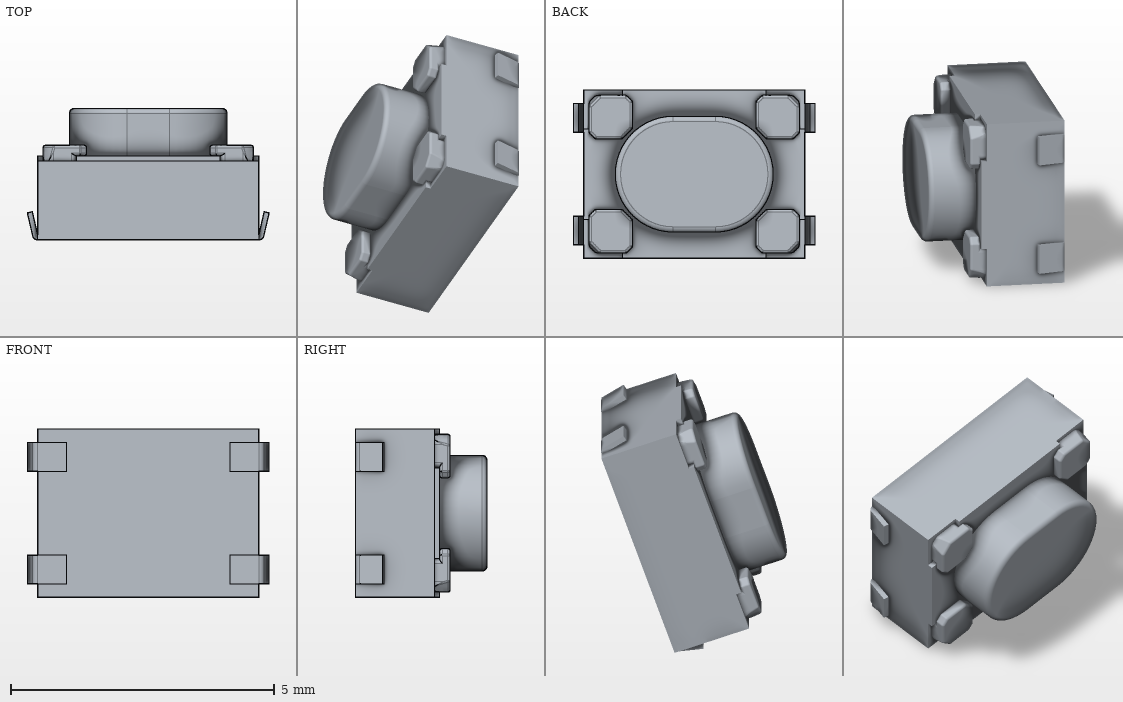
import cadquery as cq
import math


housing_x = 4.2
housing_z = 3.2
housing_height = 1.5

cover_thickness = 0.1
cover_top = housing_height + cover_thickness

button_radius = 1.1
button_length = 3.0
button_top = 2.5
button_edge_radius = 0.1

post_inset = 0.1
post_top = 1.8
root_size = 0.64
root_end_radius = 0.1
root_corner_radius = 0.2
lip_size = 0.83
lip_end_chamfer = 0.12
lip_inner_chamfer = 0.2
lip_edge_radius = 0.05
facet_leg_bottom = 0.13
facet_leg_top = 0.215

terminal_thickness = 0.1
terminal_width = 0.55
terminal_spacing = 2.14
tab_length = 0.545
arm_length = 0.45
arm_lean = 13

corners = [(x_side, z_side) for x_side in (-1, 1) for z_side in (-1, 1)]


def to_corner(shape, x_side, z_side):
    """Mirror a shape made for the +X +Z corner to the given corner."""
    if x_side < 0:
        shape = shape.mirror("YZ")
    if z_side < 0:
        shape = shape.mirror("XY")
    return shape


def block(x_min, x_max, y_min, y_max, z_min, z_max):
    size = (x_max - x_min, y_max - y_min, z_max - z_min)
    return cq.Workplane("XY").box(*size, centered=False).translate((x_min, y_min, z_min))


post_x = housing_x / 2 - post_inset
post_z = housing_z / 2 - post_inset

column_base = housing_height - 0.1

outer_corner = ">X and >Z"
post_ends = "(<X and >Z) or (>X and <Z)"


def facet_cutter():
    """Wedge outside the leaning corner facet, which cuts deeper toward the top of the post."""
    slope = (facet_leg_top - facet_leg_bottom) / (post_top - housing_height)
    leg_at_base = facet_leg_bottom - slope * (housing_height - column_base)
    depth_at_base = leg_at_base / math.sqrt(2)
    depth_at_top = facet_leg_top / math.sqrt(2)
    return (
        cq.Workplane("XY")
        .moveTo(post_x, column_base)
        .lineTo(post_x - depth_at_base, column_base)
        .lineTo(post_x - depth_at_top, post_top)
        .lineTo(post_x, post_top)
        .close()
        .extrude(root_size, both=True)
        .rotate((post_x, 0, 0), (post_x, 1, 0), -45)
        .translate((0, 0, post_z))
    )


def lip_prism(y_min, y_max):
    """Outline of the lip, with its two ends and its side toward the button chamfered."""
    prism = block(post_x - lip_size, post_x, y_min, y_max, post_z - lip_size, post_z)
    prism = prism.edges("|Y").edges("<X and <Z").chamfer(lip_inner_chamfer)
    return prism.edges("|Y").edges(post_ends).chamfer(lip_end_chamfer)


def post():
    """Post of the +X +Z corner: a root in the cover notch and a wider lip above the cover."""
    column = lip_prism(column_base, post_top).cut(facet_cutter())
    column = column.edges("not <Y").fillet(lip_edge_radius)

    lip = lip_prism(cover_top, button_top).edges("|Y").edges(outer_corner).fillet(root_corner_radius)
    lip = lip.faces("<Y").edges().fillet(lip_edge_radius)

    root_top = cover_top + lip_edge_radius
    root = block(post_x - root_size, post_x, housing_height, root_top, post_z - root_size, post_z)
    root = root.edges("|Y").edges(outer_corner).fillet(root_corner_radius)
    root = root.edges("|Y").edges(post_ends).fillet(root_end_radius)
    return column.intersect(lip.union(root))


def terminal():
    """Terminal of the +X +Z corner, bent round the lower edge of the housing."""
    side = housing_x / 2
    lean = math.radians(arm_lean)
    along = (math.sin(lean), math.cos(lean))
    across = (math.cos(lean), -math.sin(lean))
    t = terminal_thickness

    def from_bend(arm, out):
        """Point so far along and across the arm, from the inner corner of the bend."""
        x = side + arm * along[0] + out * across[0]
        y = t + arm * along[1] + out * across[1]
        return x, y

    half_bend = (math.pi / 2 - lean) / 2
    bend_middle = (side + t * math.sin(half_bend), t - t * math.cos(half_bend))
    return (
        cq.Workplane("XY")
        .moveTo(side - tab_length, 0)
        .lineTo(side, 0)
        .threePointArc(bend_middle, from_bend(0, t))
        .lineTo(*from_bend(arm_length, t))
        .lineTo(*from_bend(arm_length, 0))
        .lineTo(side, t)
        .lineTo(side - tab_length, t)
        .close()
        .extrude(terminal_width / 2, both=True)
        .translate((0, 0, terminal_spacing / 2))
    )


terminals = [to_corner(terminal(), *corner) for corner in corners]

housing = block(-housing_x / 2, housing_x / 2, 0, housing_height, -housing_z / 2, housing_z / 2)
for corner in corners:
    housing = housing.union(to_corner(post(), *corner))
for pocket in terminals:
    housing = housing.cut(pocket)

cover = block(-housing_x / 2, housing_x / 2, housing_height, cover_top, -housing_z / 2, housing_z / 2)
notch = block(post_x - root_size, housing_x, 0, button_top, post_z - root_size, housing_z)
for corner in corners:
    cover = cover.cut(to_corner(notch, *corner))

button = (
    cq.Workplane("XZ", origin=(0, button_top, 0))
    .slot2D(button_length, 2 * button_radius)
    .extrude(button_top - cover_top)
    .faces(">Y").edges().fillet(button_edge_radius)
)

result = cq.Compound.makeCompound(
    [housing.val(), cover.val(), button.val(), *[lead.val() for lead in terminals]]
)